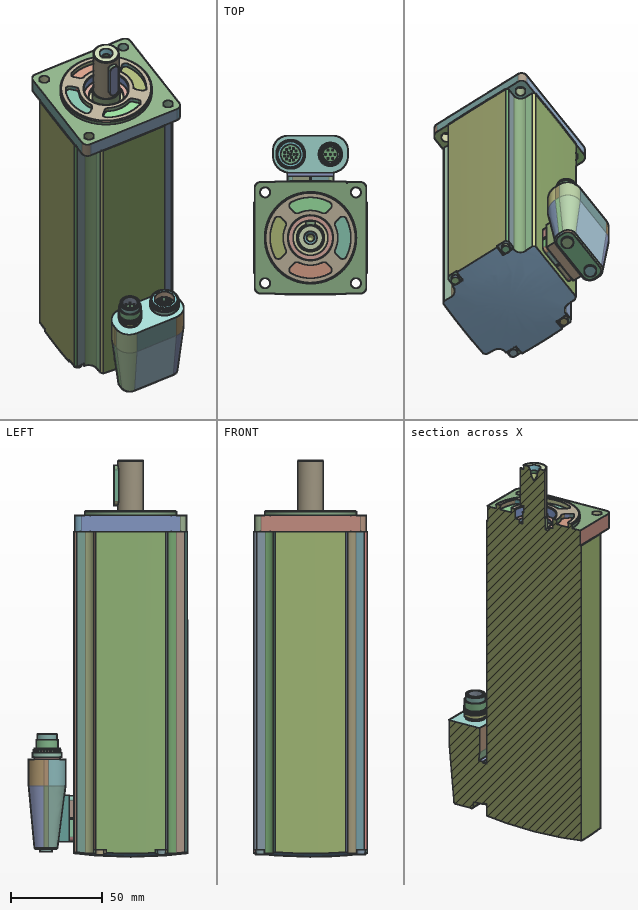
import cadquery as cq
import math

total_height = 215.8
shaft_length = 30.0
flange_top = total_height - shaft_length
flange_thickness = 8.8
flange_bottom = flange_top - flange_thickness
pilot_height = 2.5
pilot_top = flange_top + pilot_height

body_width = 62.0
body_half = body_width / 2
face_bulge = 0.2
face_width = 38.2
step_half = 29.3
hole_spacing = 49.5
relief_radius = 4.5
end_dome_radius = 243.8

screw_x = 27.5
screw_y = 16.8
screw_head_diameter = 4.5
screw_head_bottom = 1.3
notch_width = 7.0
notch_top = 3.9

flange_width = 60.8
flange_corner_radius = 3.5
mounting_hole_diameter = 5.5

pilot_diameter = 50.0
pilot_chamfer = 0.6
pocket_outer_radius = 22.0
pocket_inner_radius = 14.9
pocket_depth = 2.5
web_width = 7.1
pocket_fillet = 2.2

seal_mouth_diameter = 24.8
seal_mouth_depth = 0.5
seal_bore_diameter = 24.2
seal_bore_depth = 5.6
seal_ring_diameter = 19.0
seal_ring_depth = 7.5
shaft_collar_diameter = 15.0
shaft_collar_top = pilot_top - 0.9

shaft_diameter = 14.0
shaft_chamfer = 0.5
centre_hole_diameter = 4.0
centre_hole_depth = 4.3
centre_sink_diameter = 7.1
centre_cone_slope = math.tan(math.radians(60))
key_width = 5.0
key_length = 22.0
key_tip_gap = 2.5
key_top_y = 9.0

housing_width = 41.0
housing_depth = 20.3
overall_depth = 86.5
housing_back_y = overall_depth - body_half
housing_centre_y = housing_back_y - housing_depth / 2
housing_back_radius = 8.2
housing_front_radius = 9.5
housing_top = 53.0
housing_taper_top = 38.8
housing_bottom = 4.0
tip_width = 34.0
tip_depth = 12.5
tip_centre_y = housing_centre_y + (housing_front_radius - housing_back_radius) / 2
tip_corner_radius = 5.0
tip_chamfer = 0.9
cable_stub_diameter = 6.7
cable_stub_bottom = 2.8

base_width = 25.5
base_bottom = 8.2
base_corner_radius = 2.5
base_plate_y = 33.5
base_plate_inset = 0.2
base_notch_size = 0.9

plug_spacing = 21.5
plug_y = housing_centre_y
plug_root_depth = 2.2
toothed_step = 2
tooth_depth = 0.6
tooth_gap_width = 0.6
tooth_count = 26
pin_diameter = 0.8


def cylinder(diameter, bottom, top, x=0.0, y=0.0):
    return cq.Workplane("XY", origin=(x, y, bottom)).circle(diameter / 2).extrude(top - bottom)


def turned(x, y, angle):
    """The point (x, y) turned about the motor axis by an angle in radians."""
    return (
        x * math.cos(angle) - y * math.sin(angle),
        x * math.sin(angle) + y * math.cos(angle),
    )


def make_body():
    """Square extrusion with slightly bulged faces, relieved around the four mounting holes."""
    hole = hole_spacing / 2
    wall = hole - relief_radius
    relief_mid = hole - relief_radius / math.sqrt(2)
    face_edge = face_width / 2
    face_end = body_half - face_bulge
    outline = cq.Workplane("XY").moveTo(face_edge, face_end)
    for side in range(4):
        turn = -side * math.pi / 2
        outline = outline.lineTo(*turned(wall, step_half, turn)).lineTo(*turned(wall, hole, turn))
        outline = outline.threePointArc(turned(relief_mid, relief_mid, turn), turned(hole, wall, turn))
        outline = outline.lineTo(*turned(step_half, wall, turn)).lineTo(*turned(face_end, face_edge, turn))
        outline = outline.threePointArc(turned(body_half, 0, turn), turned(face_end, -face_edge, turn))
    body = outline.close().extrude(flange_bottom)
    dome = cq.Workplane("XY").sphere(end_dome_radius).translate((0, 0, end_dome_radius))
    return body.intersect(dome)


def screw_spots():
    return [(side * screw_x, end * screw_y) for side in (-1, 1) for end in (-1, 1)]


def make_screw_notches():
    """Cutters that run from the inner side of each screw head out through the nearer X face."""
    notch_depth = body_half - screw_x + screw_head_diameter / 2
    notch_x = body_half - notch_depth / 2
    spots = [(math.copysign(notch_x, x), y) for x, y in screw_spots()]
    return cq.Workplane("XY").pushPoints(spots).rect(notch_depth, notch_width).extrude(notch_top)


def make_screw_heads():
    heads = cq.Workplane("XY", origin=(0, 0, screw_head_bottom)).pushPoints(screw_spots())
    return heads.circle(screw_head_diameter / 2).extrude(notch_top - screw_head_bottom)


def make_flange():
    flange = cq.Workplane("XY", origin=(0, 0, flange_bottom)).rect(flange_width, flange_width)
    flange = flange.extrude(flange_thickness).edges("|Z").fillet(flange_corner_radius)
    holes = flange.faces(">Z").workplane().rect(hole_spacing, hole_spacing, forConstruction=True)
    return holes.vertices().hole(mounting_hole_diameter)


def make_pilot():
    return cylinder(pilot_diameter, flange_top, pilot_top).faces(">Z").edges().chamfer(pilot_chamfer)


def make_pockets():
    """Four kidney pockets: a ring split by two crossing diagonal webs."""
    bottom = pilot_top - pocket_depth
    ring = cylinder(2 * pocket_outer_radius, bottom, pilot_top)
    ring = ring.cut(cylinder(2 * pocket_inner_radius, bottom, pilot_top))
    for angle in (45, 135):
        web = cq.Workplane("XY", origin=(0, 0, bottom)).rect(pilot_diameter, web_width).extrude(pocket_depth)
        ring = ring.cut(web.rotate((0, 0, 0), (0, 0, 1), angle))
    return ring.edges("|Z").fillet(pocket_fillet)


def make_seal_recess():
    recess = cylinder(seal_mouth_diameter, pilot_top - seal_mouth_depth, pilot_top)
    recess = recess.union(cylinder(seal_bore_diameter, pilot_top - seal_bore_depth, pilot_top))
    return recess.union(cylinder(seal_ring_diameter, pilot_top - seal_ring_depth, pilot_top))


def make_shaft():
    root = pilot_top - seal_ring_depth
    shaft = cylinder(shaft_diameter, root, total_height).faces(">Z").edges().chamfer(shaft_chamfer)
    shaft = shaft.union(cylinder(shaft_collar_diameter, root, shaft_collar_top))
    key_middle = total_height - key_tip_gap - key_length / 2
    key = cq.Workplane("XZ", origin=(0, key_top_y, key_middle)).slot2D(key_length, key_width, 90)
    shaft = shaft.union(key.extrude(key_width))
    return shaft.cut(make_centre_hole())


def make_centre_hole():
    """Drilled centre with a 60 degree countersink and a 60 degree drill point."""
    hole_radius = centre_hole_diameter / 2
    sink_radius = centre_sink_diameter / 2
    sink_bottom = total_height - (sink_radius - hole_radius) * centre_cone_slope
    hole_bottom = total_height - centre_hole_depth
    point = hole_bottom - hole_radius * centre_cone_slope
    profile = cq.Workplane("XZ").moveTo(0, total_height).lineTo(sink_radius, total_height)
    profile = profile.lineTo(hole_radius, sink_bottom).lineTo(hole_radius, hole_bottom).lineTo(0, point)
    return profile.close().revolve(360, (0, 0, 0), (0, 1, 0))


def rounded_rectangle(width, depth, back_radius, front_radius):
    outline = cq.Sketch().rect(width, depth)
    return outline.vertices(">Y").fillet(back_radius).reset().vertices("<Y").fillet(front_radius)


def make_housing():
    """Rounded block that narrows downwards to two short cable stubs."""
    wide = rounded_rectangle(housing_width, housing_depth, housing_back_radius, housing_front_radius)
    narrow = rounded_rectangle(tip_width, tip_depth, tip_corner_radius, tip_corner_radius)
    block = cq.Workplane("XY", origin=(0, housing_centre_y, housing_taper_top)).placeSketch(wide)
    block = block.extrude(housing_top - housing_taper_top)
    tip_shift = cq.Location(cq.Vector(0, tip_centre_y - housing_centre_y, housing_bottom - housing_taper_top))
    taper = cq.Workplane("XY", origin=(0, housing_centre_y, housing_taper_top))
    taper = taper.placeSketch(wide, narrow.moved(tip_shift)).loft(ruled=True)
    housing = block.union(taper.faces("<Z").chamfer(tip_chamfer))
    for x in (-plug_spacing / 2, plug_spacing / 2):
        housing = housing.union(
            cylinder(cable_stub_diameter, cable_stub_bottom, housing_taper_top, x, tip_centre_y)
        )
    return housing


def make_base():
    """Rounded square plate on the body and the square neck between it and the housing."""
    middle_z = base_bottom + base_width / 2
    plate_depth = base_plate_y - step_half
    plate_width = base_width - 2 * base_plate_inset
    plate = cq.Workplane("XZ", origin=(0, base_plate_y, middle_z)).rect(plate_width, plate_width)
    plate = plate.extrude(plate_depth).edges("|Y").fillet(base_corner_radius)
    marks = cq.Workplane("XZ", origin=(0, base_plate_y, middle_z)).polarArray(plate_width / 2, 0, 360, 4)
    plate = plate.cut(marks.rect(base_notch_size, base_notch_size).extrude(plate_depth))
    neck = cq.Workplane("XZ", origin=(0, tip_centre_y, middle_z)).rect(base_width, base_width)
    return plate.union(neck.extrude(tip_centre_y - base_plate_y))


def make_plug(x, steps, socket_diameter, socket_depth, pin_rings):
    """Stepped round plug with a toothed collar and pins in an open socket.

    steps: (diameter, top) from the housing upwards.
    pin_rings: (pin count, circle radius) of the rings around the middle pin.
    """
    bottom = housing_top
    plug = cylinder(steps[0][0], bottom - plug_root_depth, bottom, x, plug_y)
    for number, (diameter, top) in enumerate(steps):
        step = cylinder(diameter, bottom, top, x, plug_y)
        if number == toothed_step:
            gaps = cq.Workplane("XY", origin=(x, plug_y, bottom))
            gaps = gaps.polarArray(diameter / 2, 0, 360, tooth_count)
            step = step.cut(gaps.rect(2 * tooth_depth, tooth_gap_width).extrude(top - bottom))
        plug = plug.union(step)
        bottom = top
    floor = bottom - socket_depth
    plug = plug.cut(cylinder(socket_diameter, floor, bottom, x, plug_y))
    pins = cq.Workplane("XY", origin=(x, plug_y, floor)).circle(pin_diameter / 2)
    for count, radius in pin_rings:
        pins = pins.polarArray(radius, 0, 360, count).circle(pin_diameter / 2)
    return plug.union(pins.extrude(socket_depth / 2))


socket_plug = make_plug(
    x=-plug_spacing / 2,
    steps=[(14.0, 54.4), (16.0, 56.8), (15.0, 58.5), (14.0, 59.1)],
    socket_diameter=10.8,
    socket_depth=4.3,
    pin_rings=[(5, 1.7), (11, 3.5)],
)
pin_plug = make_plug(
    x=plug_spacing / 2,
    steps=[(10.8, 54.4), (12.0, 56.8), (13.0, 59.1), (12.0, 63.7), (10.8, 66.7), (10.1, 67.0)],
    socket_diameter=8.2,
    socket_depth=5.5,
    pin_rings=[(6, 2.5)],
)

result = make_body().cut(make_screw_notches()).union(make_screw_heads())
result = result.union(make_flange()).union(make_pilot())
result = result.cut(make_pockets()).cut(make_seal_recess()).union(make_shaft())
result = result.union(make_base()).union(make_housing())
result = result.union(socket_plug).union(pin_plug)